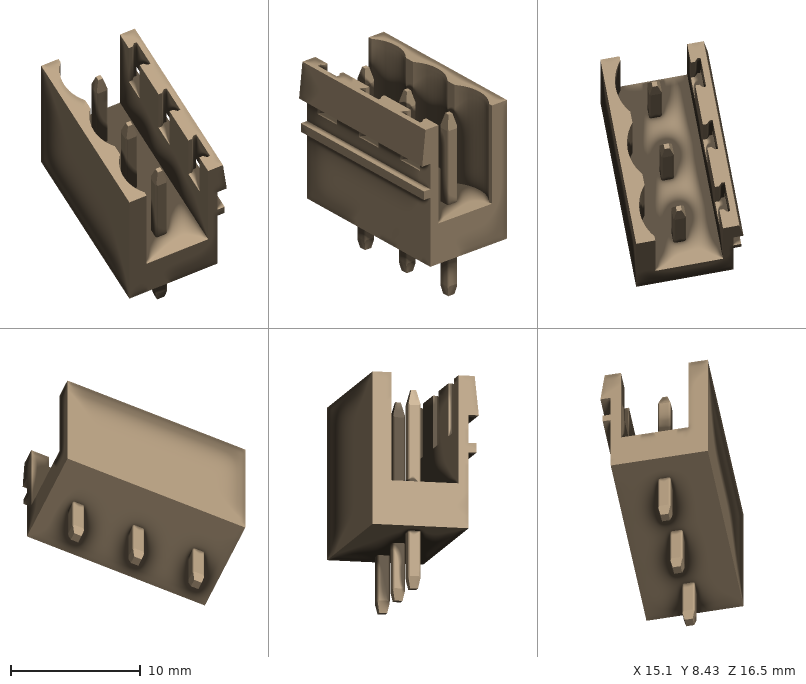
import cadquery as cq


POLE_COUNT = 3
POLE_PITCH = 5.08
POLE_Y = 3.8
POLE_XS = [(i - (POLE_COUNT - 1) / 2) * POLE_PITCH for i in range(POLE_COUNT)]

WIDTH = 15.05
BODY_DEPTH = 7.62
OVERALL_DEPTH = 8.43
OVERALL_HEIGHT = 16.5
HEIGHT = 12.0
FLOOR_THICKNESS = 3.5
FRONT_WALL = 1.5
REAR_WALL = 0.81
REAR_WALL_INNER_Y = BODY_DEPTH - REAR_WALL

LEDGE_HEIGHT = 3.09
LEDGE_TAPER = 0.33
RIB_PROJECTION = 0.63
RIB_BOTTOM = 5.97
RIB_HEIGHT = 0.75

SCALLOP_CHORD = 4.19
SCALLOP_DEPTH = 0.76

SLOT_MOUTH_WIDTH = 1.86
SLOT_BACK_WIDTH = 2.36
SLOT_MOUTH_DEPTH = 0.31
SLOT_BACK_DEPTH = 0.25
SLOT_HEIGHT = 4.17

PIN_SIZE = 1.0
PIN_EDGE_RADIUS = 0.16
PIN_BOTTOM = HEIGHT - OVERALL_HEIGHT
PIN_TOP = 11.12
TOP_TIP_LENGTH = 1.24
TOP_TIP_SIZE = 0.4
BOTTOM_TIP_LENGTH = 0.94
BOTTOM_TIP_SIZE = 0.63


def housing_blank():
    """U-shaped profile with the rear ledge and rib, extruded along X."""
    ledge_bottom = HEIGHT - LEDGE_HEIGHT
    rib_top = RIB_BOTTOM + RIB_HEIGHT
    rib_y = BODY_DEPTH + RIB_PROJECTION
    outline = [
        (0, 0),
        (BODY_DEPTH, 0),
        (BODY_DEPTH, RIB_BOTTOM),
        (rib_y, RIB_BOTTOM),
        (rib_y, rib_top),
        (BODY_DEPTH, rib_top),
        (BODY_DEPTH, ledge_bottom),
        (OVERALL_DEPTH, ledge_bottom),
        (OVERALL_DEPTH - LEDGE_TAPER, HEIGHT),
        (REAR_WALL_INNER_Y, HEIGHT),
        (REAR_WALL_INNER_Y, FLOOR_THICKNESS),
        (FRONT_WALL, FLOOR_THICKNESS),
        (FRONT_WALL, HEIGHT),
        (0, HEIGHT),
    ]
    return cq.Workplane("YZ").polyline(outline).close().extrude(WIDTH / 2, both=True)


def scallop_cutter(x):
    """Round hollow in the inner face of the front wall, from the floor to the top."""
    return (
        cq.Workplane("XY", origin=(x, FRONT_WALL, FLOOR_THICKNESS))
        .moveTo(-SCALLOP_CHORD / 2, 0)
        .threePointArc((0, -SCALLOP_DEPTH), (SCALLOP_CHORD / 2, 0))
        .close()
        .extrude(HEIGHT - FLOOR_THICKNESS)
    )


def slot_cutter(x):
    """Dovetail slot, open at the top; it breaks through the rear wall below the ledge."""
    mouth = SLOT_MOUTH_WIDTH / 2
    back = SLOT_BACK_WIDTH / 2
    flare_end = REAR_WALL - SLOT_BACK_DEPTH
    outline = [
        (-mouth, 0),
        (mouth, 0),
        (mouth, SLOT_MOUTH_DEPTH),
        (back, flare_end),
        (back, REAR_WALL),
        (-back, REAR_WALL),
        (-back, flare_end),
        (-mouth, SLOT_MOUTH_DEPTH),
    ]
    return (
        cq.Workplane("XY", origin=(x, REAR_WALL_INNER_Y, HEIGHT - SLOT_HEIGHT))
        .polyline(outline)
        .close()
        .extrude(SLOT_HEIGHT)
    )


def pin_shaft(x):
    """Square bar with rounded long edges, at the full length of a pin."""
    return (
        cq.Workplane("XY", origin=(x, POLE_Y, PIN_BOTTOM))
        .rect(PIN_SIZE, PIN_SIZE)
        .extrude(PIN_TOP - PIN_BOTTOM)
        .edges("|Z")
        .fillet(PIN_EDGE_RADIUS)
    )


def tip_envelope(plane, x):
    """Prism across the pin that is narrowed at both ends, on the given upright plane."""
    right_side = [
        (BOTTOM_TIP_SIZE / 2, PIN_BOTTOM),
        (PIN_SIZE / 2, PIN_BOTTOM + BOTTOM_TIP_LENGTH),
        (PIN_SIZE / 2, PIN_TOP - TOP_TIP_LENGTH),
        (TOP_TIP_SIZE / 2, PIN_TOP),
    ]
    left_side = [(-across, z) for across, z in reversed(right_side)]
    return (
        cq.Workplane(plane, origin=(x, POLE_Y, 0))
        .polyline(right_side + left_side)
        .close()
        .extrude(PIN_SIZE, both=True)
    )


def make_pin(x):
    """Square pin with both ends tapered on all four sides."""
    return pin_shaft(x).intersect(tip_envelope("XZ", x)).intersect(tip_envelope("YZ", x))


def make_housing():
    """Housing with a scallop, a dovetail slot and a matching pin hole at every pole."""
    body = housing_blank()
    for x in POLE_XS:
        body = body.cut(scallop_cutter(x)).cut(slot_cutter(x)).cut(pin_shaft(x))
    return body


housing = make_housing()
pins = [make_pin(x) for x in POLE_XS]

result = cq.Compound.makeCompound([housing.val(), *[pin.val() for pin in pins]])